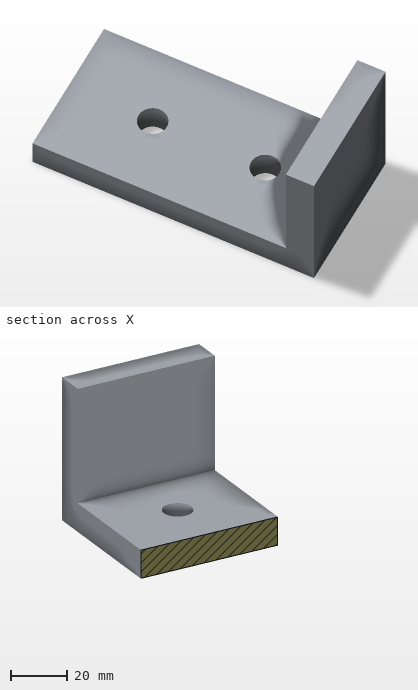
import cadquery as cq

length = 112.5
width = 56.3
height = 56.3
thickness = 11.3
hole_diameter = 11.3
hole_positions_x = (33.8, 78.8)

base = cq.Workplane("XY").box(length, width, thickness, centered=False)

wall = (
    cq.Workplane("XY")
    .box(thickness, width, height - thickness, centered=False)
    .translate((length - thickness, 0, thickness))
)

holes = (
    cq.Workplane("XY")
    .pushPoints([(x, width / 2) for x in hole_positions_x])
    .circle(hole_diameter / 2)
    .extrude(thickness)
)

result = base.union(wall).cut(holes)